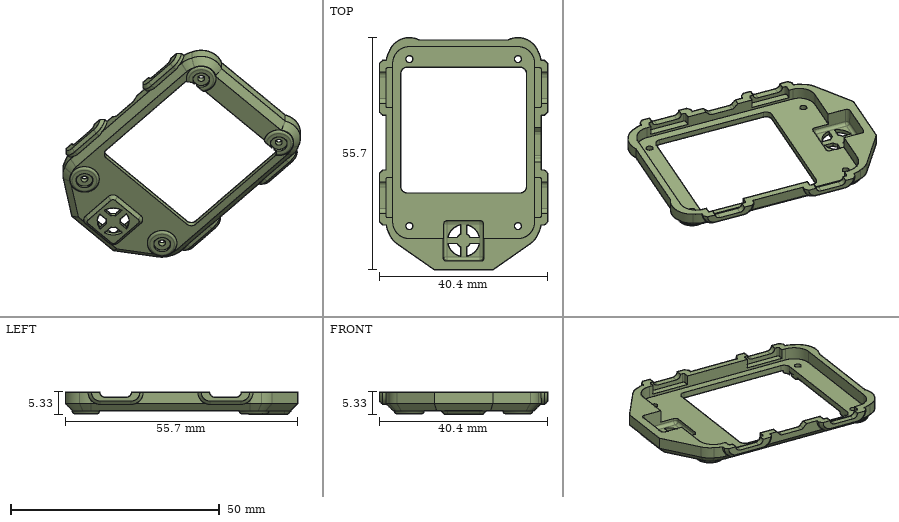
import cadquery as cq
import math

frame_height = 4.5
edge_bevel = 1.75
wall = 1.6
cavity_half_width = 17.0
cavity_front = -26.0
cavity_back = 20.0
cavity_corner_radius = 4.0
cavity_floor = 1.5
window_size = 30.06
window_corner_radius = 1.5

hole_x = 13.0
hole_front = -23.0
hole_back = 17.0
hole_diameter = 1.62
lobe_radius = 5.18
screw_head_diameter = 4.0
foot_diameter = 7.1
foot_height = 0.7
foot_fillet = 0.6

nose_half_width = 7.0
nose_front = -33.5

clip_centres_y = (10.15, -16.15)
clip_reach = 20.2
clip_length = 13.2
clip_height = 2.95
clip_corner_radius = 2.9
clip_bevel = 0.8
clip_pocket_length = 9.6
clip_pocket_depth = 2.3
clip_pocket_radius = 0.4
clip_notch_length = 7.55
clip_notch_depth = 1.2

cable_notch_centre_y = -3.5
cable_notch_top_length = 8.3
cable_notch_depth = 1.2
cable_notch_fillet = 0.9

sensor_y = -26.45
pocket_skin = 1.0
pocket_floor_size = 9.4
pocket_draft = 3.0
pocket_fillet = 0.8
boss_top_size = 10.9
boss_height = 0.83
boss_corner_radius = 1.55
grille_radius = 3.8
grille_bar = 1.5
grille_hub_radius = 1.72

pocket_floor = pocket_skin - boss_height
cable_notch_floor_length = cable_notch_top_length - 2 * cable_notch_depth
outer_half_width = cavity_half_width + wall
cavity_length = cavity_back - cavity_front
cavity_centre_y = (cavity_back + cavity_front) / 2
hole_points = [(sx * hole_x, y) for sx in (-1, 1) for y in (hole_front, hole_back)]


def rounded_block(size_x, size_y, radius, centre_y, bottom, top):
    """Upright block with rounded vertical edges, centred on X = 0."""
    block = cq.Workplane("XY", origin=(0, centre_y, bottom)).rect(size_x, size_y).extrude(top - bottom)
    return block.edges("|Z").fillet(radius)


def make_body():
    """Rounded frame, corner lobes and nose as one solid with a bevelled lower rim."""
    frame = rounded_block(
        2 * outer_half_width, cavity_length + 2 * wall, cavity_corner_radius + wall,
        cavity_centre_y, 0, frame_height)
    frame = frame.faces("<Z").chamfer(edge_bevel)
    lobes = cq.Workplane("XY").pushPoints(hole_points).circle(lobe_radius).extrude(frame_height)
    lobes = lobes.faces("<Z").chamfer(edge_bevel)

    run_x = hole_x - nose_half_width
    run_y = hole_front - nose_front
    distance = math.hypot(run_x, run_y)
    slant = math.atan2(run_y, run_x) - math.asin(lobe_radius / distance)
    tangent_x = hole_x + lobe_radius * math.sin(slant)
    tangent_y = hole_front - lobe_radius * math.cos(slant)
    nose = (
        cq.Workplane("XY")
        .polyline([
            (-nose_half_width, nose_front),
            (nose_half_width, nose_front),
            (tangent_x, tangent_y),
            (hole_x, hole_front),
            (-hole_x, hole_front),
            (-tangent_x, tangent_y),
        ])
        .close()
        .extrude(frame_height)
    )
    rim = nose.faces("<Z").edges().filter(lambda edge: edge.Center().y < tangent_y)
    nose = rim.chamfer(edge_bevel)
    return frame.union(lobes).union(nose)


def make_clip(side, centre_y):
    """Clip block with rounded lower corners and a bevel around its outer face."""
    bottom = frame_height - clip_height
    block = (
        cq.Workplane("XY", origin=(side * (cavity_half_width + clip_reach) / 2, centre_y, bottom))
        .box(clip_reach - cavity_half_width, clip_length, clip_height, centered=(True, True, False))
        .edges("|X and <Z").fillet(clip_corner_radius)
    )
    outer_face = ">X" if side > 0 else "<X"
    return block.faces(outer_face).edges("not >Z").chamfer(clip_bevel)


def make_clip_cut(side, centre_y):
    """Pocket behind a clip together with the round-bottomed notch in its top."""
    pocket = (
        cq.Workplane("XY", origin=(0, centre_y, frame_height - clip_pocket_depth))
        .rect(2 * outer_half_width, clip_pocket_length)
        .extrude(clip_pocket_depth)
        .edges("|Z").fillet(clip_pocket_radius)
    )
    notch = (
        cq.Workplane("XY", origin=(0, centre_y, frame_height - clip_notch_depth))
        .box(2 * clip_reach, clip_notch_length, 2 * clip_notch_depth, centered=(True, True, False))
        .edges("|X and <Z").fillet(clip_notch_depth)
    )
    half = cq.Workplane("XY", origin=(side * clip_reach / 2, centre_y, 0)).box(
        clip_reach, clip_length, 2 * frame_height)
    return pocket.union(notch).intersect(half)


def make_cable_notch():
    """Notch with 45 degree sides and filleted floor through the +X wall."""
    return (
        cq.Workplane("YZ", origin=(cavity_half_width, cable_notch_centre_y, frame_height))
        .polyline([
            (-cable_notch_top_length / 2, 0),
            (-cable_notch_floor_length / 2, -cable_notch_depth),
            (cable_notch_floor_length / 2, -cable_notch_depth),
            (cable_notch_top_length / 2, 0),
        ])
        .close()
        .extrude(wall)
        .edges("|X and <Z").fillet(cable_notch_fillet)
    )


def make_feet():
    """Round foot with a rounded rim under each screw hole."""
    feet = (
        cq.Workplane("XY").pushPoints(hole_points)
        .circle(foot_diameter / 2).extrude(-foot_height)
    )
    return feet.faces("<Z").edges().fillet(foot_fillet)


def make_screw_holes():
    """Screw holes, each with a wider head recess through the height of its foot."""
    plane = cq.Workplane("XY", origin=(0, 0, -foot_height)).pushPoints(hole_points)
    shanks = plane.circle(hole_diameter / 2).extrude(foot_height + cavity_floor)
    heads = plane.circle(screw_head_diameter / 2).extrude(foot_height)
    return shanks.union(heads)


def make_sensor_boss():
    """Square boss under the sensor pocket, flaring upwards at 45 degrees."""
    boss = rounded_block(boss_top_size, boss_top_size, boss_corner_radius, sensor_y, -boss_height, cavity_floor)
    return boss.faces("<Z").chamfer(boss_height)


def make_sensor_cut():
    """Square pocket widening upwards, with equal fillets on its corners and around its floor."""
    height = frame_height - pocket_floor
    pocket_mouth_size = pocket_floor_size + 2 * height * math.tan(math.radians(pocket_draft))
    return (
        cq.Workplane("XY", origin=(0, sensor_y, pocket_floor))
        .rect(pocket_floor_size, pocket_floor_size)
        .workplane(offset=height).rect(pocket_mouth_size, pocket_mouth_size)
        .loft()
        .edges("not >Z").fillet(pocket_fillet)
    )


def make_grille_cut():
    """Round opening divided by a cross of two bars with a hub."""
    plane = cq.Workplane("XY", origin=(0, sensor_y, -boss_height))
    depth = boss_height + cavity_floor
    opening = plane.circle(grille_radius).extrude(depth)
    bars = plane.rect(2 * grille_radius, grille_bar).extrude(depth)
    bars = bars.union(plane.rect(grille_bar, 2 * grille_radius).extrude(depth))
    return opening.cut(bars).cut(plane.circle(grille_hub_radius).extrude(depth))


clip_places = [(side, y) for side in (-1, 1) for y in clip_centres_y]

body = make_body()
for side, y in clip_places:
    body = body.union(make_clip(side, y))
body = body.union(make_feet()).union(make_sensor_boss())

cavity = rounded_block(
    2 * cavity_half_width, cavity_length, cavity_corner_radius, cavity_centre_y, cavity_floor, frame_height)
window = rounded_block(window_size, window_size, window_corner_radius, 0, -foot_height, frame_height)
body = body.cut(cavity).cut(window).cut(make_screw_holes())
for side, y in clip_places:
    body = body.cut(make_clip_cut(side, y))

result = body.cut(make_cable_notch()).cut(make_sensor_cut()).cut(make_grille_cut())